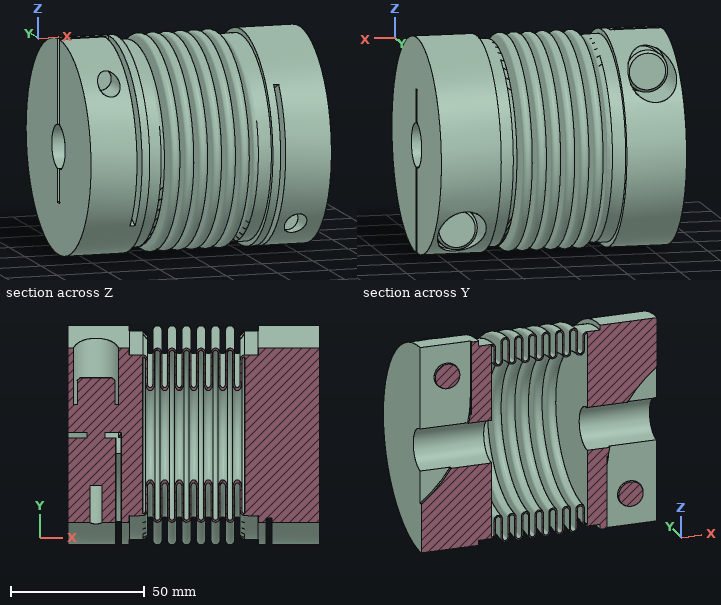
import cadquery as cq
import math


LENGTH = 94
OUTER_RADIUS = 41.0
BORE_RADIUS = 8.5
MIDDLE = LENGTH / 2

CREST_COUNT = 6
BELLOWS_START = 28.0
PITCH = (LENGTH - 2 * BELLOWS_START) / (CREST_COUNT + 1)
WALL = 0.75
ROOT_RADIUS = 30.55
CREST_BEND = PITCH / 4 + WALL / 2
ROOT_BEND = PITCH / 4 - WALL / 2

HUB_LENGTH = 22.9
COLLAR_RADIUS = 39.0

SLOT_WIDTH = 2.0
CROSS_SLOT_START = 18.0
CROSS_SLOT_END = CROSS_SLOT_START + SLOT_WIDTH
FLOOR_RADIUS = 50.0
LONG_FLOOR_CENTRE_Z = 18.7
CROSS_FLOOR_CENTRE_Z = 21.8

SCREW_X = 10.5
SCREW_Z = 28.4
SHANK_RADIUS = 5.0
SCREW_TIP_Y = -18.8
HEAD_RADIUS = 8.0
HEAD_SEAT_Y = 11.6
HEAD_TOP_Y = 21.5
HEAD_CHAMFER = 1.0
TAPPED_RADIUS = 4.2
COUNTERBORE_RADIUS = 9.1


def x_cylinder(radius, start, end):
    """Cylinder on the shaft axis between two X positions."""
    return cq.Workplane("YZ", origin=(start, 0, 0)).circle(radius).extrude(end - start)


def screw_cylinder(radius, start, end):
    """Cylinder on the clamping screw axis between two Y positions."""
    plane = cq.Plane(origin=(SCREW_X, start, SCREW_Z), xDir=(1, 0, 0), normal=(0, 1, 0))
    return cq.Workplane(plane).circle(radius).extrude(end - start)


def corrugated_solid(inset):
    """Revolved U-shaped corrugation, with its whole surface moved inward by inset."""
    crest_bend = CREST_BEND - inset
    root_bend = ROOT_BEND + inset
    root_bottom = ROOT_RADIUS - inset
    root_centre = root_bottom + root_bend
    crest_top = OUTER_RADIUS - inset
    crest_centre = crest_top - crest_bend
    end_top = COLLAR_RADIUS - inset
    end_centre = end_top - crest_bend
    diagonal = crest_bend * math.sqrt(0.5)
    bellows_end = LENGTH - BELLOWS_START

    profile = cq.Workplane("XZ").moveTo(BELLOWS_START, 0).lineTo(BELLOWS_START, end_top)
    profile = profile.threePointArc(
        (BELLOWS_START + diagonal, end_centre + diagonal),
        (BELLOWS_START + crest_bend, end_centre),
    )

    for index in range(CREST_COUNT + 1):
        root_x = BELLOWS_START + (index + 0.5) * PITCH
        profile = profile.lineTo(root_x - root_bend, root_centre)
        profile = profile.threePointArc((root_x, root_bottom), (root_x + root_bend, root_centre))
        if index < CREST_COUNT:
            crest_x = root_x + PITCH / 2
            profile = profile.lineTo(crest_x - crest_bend, crest_centre)
            profile = profile.threePointArc((crest_x, crest_top), (crest_x + crest_bend, crest_centre))

    profile = profile.lineTo(bellows_end - crest_bend, end_centre)
    profile = profile.threePointArc(
        (bellows_end - diagonal, end_centre + diagonal),
        (bellows_end, end_top),
    )
    profile = profile.lineTo(bellows_end, 0).close()
    return profile.revolve(360, (0, 0, 0), (1, 0, 0))


def saw_outline(plane, wall, floor_centre_z):
    """Slot outline open toward the minus side: an upright wall running into a concave round floor."""
    centre = wall - FLOOR_RADIUS
    diagonal = FLOOR_RADIUS * math.sqrt(0.5)
    return (
        plane.moveTo(wall, OUTER_RADIUS)
        .lineTo(wall, floor_centre_z)
        .threePointArc(
            (centre + diagonal, floor_centre_z - diagonal),
            (centre, floor_centre_z - FLOOR_RADIUS),
        )
        .lineTo(centre, OUTER_RADIUS)
        .close()
    )


def clamping_slots():
    """Lengthwise slot through the bore, and a cross slot freeing the clamp arm on the -Y side."""
    long_plane = cq.Workplane("XZ")
    long_slot = saw_outline(long_plane, CROSS_SLOT_END, LONG_FLOOR_CENTRE_Z)
    long_slot = long_slot.extrude(SLOT_WIDTH / 2, both=True)
    cross_plane = cq.Workplane("YZ", origin=(CROSS_SLOT_START, 0, 0))
    cross_slot = saw_outline(cross_plane, SLOT_WIDTH / 2, CROSS_FLOOR_CENTRE_Z)
    cross_slot = cross_slot.extrude(SLOT_WIDTH)
    return long_slot.union(cross_slot)


def screw():
    """Cap screw with a plain chamfered head."""
    head = screw_cylinder(HEAD_RADIUS, HEAD_SEAT_Y, HEAD_TOP_Y).faces(">Y").chamfer(HEAD_CHAMFER)
    return screw_cylinder(SHANK_RADIUS, SCREW_TIP_Y, HEAD_SEAT_Y).union(head)


def clamping_hub():
    """Hub on the -X end with its collar, bore, slots and clamping screw."""
    hub = x_cylinder(OUTER_RADIUS, 0, HUB_LENGTH)
    hub = hub.union(x_cylinder(COLLAR_RADIUS, HUB_LENGTH, BELLOWS_START))
    hub = hub.cut(x_cylinder(BORE_RADIUS, 0, BELLOWS_START))
    hub = hub.cut(clamping_slots())
    hub = hub.cut(screw_cylinder(TAPPED_RADIUS, -OUTER_RADIUS, SCREW_TIP_Y))
    hub = hub.cut(screw_cylinder(COUNTERBORE_RADIUS, HEAD_SEAT_Y, OUTER_RADIUS))
    return hub.union(screw())


bellows = corrugated_solid(0).cut(corrugated_solid(WALL))
first_hub = clamping_hub()
second_hub = first_hub.rotate((MIDDLE, 0, 0), (MIDDLE, 1, 0), 180)
result = first_hub.union(bellows).union(second_hub)